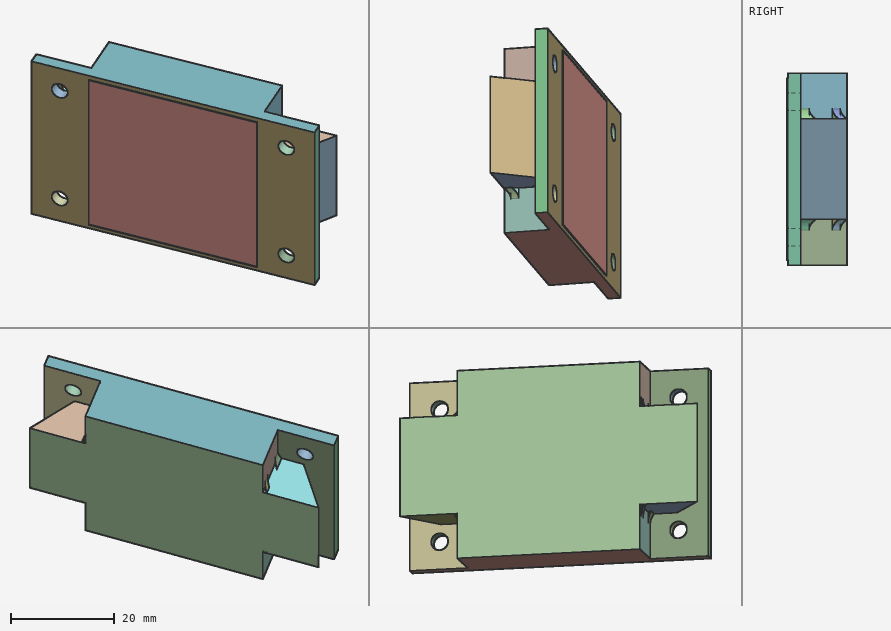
import cadquery as cq

LENGTH = 59.0
HEIGHT = 37.0
DEPTH = 11.55
PAD_THICKNESS = 0.2
PAD_SIDE = 35.05
PLATE_THICKNESS = 2.5
BODY_LENGTH = 36.1
HOLE_DIAMETER = 3.3
HOLE_SPACING_X = 47.2
HOLE_SPACING_Z = 26.1

WEDGE_HEIGHT = 19.35
WEDGE_BASE_LENGTH = 46.6
WEDGE_BACK_LENGTH = 58.75

GUSSET_REACH = 0.75
GUSSET_RISE = 2.0
GUSSET_WIDTH = 1.55
GUSSET_SLANT = 1.3
GUSSET_PITCH = 6.0

BACK_Y = DEPTH - PAD_THICKNESS
BODY_X = BODY_LENGTH / 2
WEDGE_Z = WEDGE_HEIGHT / 2
OVERLAP = 0.3


def block(length, y_start, y_end, height):
    """Box centred on X and Z between two Y levels."""
    return cq.Workplane("XY").box(length, y_end - y_start, height).translate((0, (y_start + y_end) / 2, 0))


def wedges():
    """Both wedges as one trapezoidal bar running through the body."""
    outline = [
        (-WEDGE_BASE_LENGTH / 2, PLATE_THICKNESS),
        (WEDGE_BASE_LENGTH / 2, PLATE_THICKNESS),
        (WEDGE_BACK_LENGTH / 2, BACK_Y),
        (-WEDGE_BACK_LENGTH / 2, BACK_Y),
    ]
    return cq.Workplane("XY").polyline(outline).close().extrude(WEDGE_Z, both=True)


def fillet_strip():
    """Concave strip in the +X +Z corner, tangent to the body side."""
    radius = (GUSSET_REACH**2 + GUSSET_RISE**2) / (2 * GUSSET_REACH)
    mid_rise = GUSSET_RISE / 2
    mid_reach = radius - (radius**2 - mid_rise**2) ** 0.5
    top_z = WEDGE_Z + GUSSET_RISE
    return (
        cq.Workplane("XZ")
        .moveTo(BODY_X, top_z)
        .threePointArc((BODY_X + mid_reach, top_z - mid_rise), (BODY_X + GUSSET_REACH, WEDGE_Z))
        .lineTo(BODY_X + GUSSET_REACH, WEDGE_Z - OVERLAP)
        .lineTo(BODY_X - OVERLAP, WEDGE_Z - OVERLAP)
        .lineTo(BODY_X - OVERLAP, top_z)
        .close()
        .extrude(-BACK_Y)
    )


def slanted_band(tip_back_y, tip_front_y, root_front_y):
    """Region that trims the strip to one gusset, slanting back towards its tip."""
    tip_x = BODY_X + GUSSET_REACH
    outline = [
        (BODY_X - OVERLAP, root_front_y),
        (BODY_X, root_front_y),
        (tip_x, tip_front_y),
        (tip_x, tip_back_y),
        (BODY_X, tip_back_y - GUSSET_SLANT),
        (BODY_X - OVERLAP, tip_back_y - GUSSET_SLANT),
    ]
    return cq.Workplane("XY").polyline(outline).close().extrude(HEIGHT / 2)


def corner_gussets():
    """The two gussets of one corner: one at the back, one standing on the plate."""
    back_front_y = BACK_Y - GUSSET_WIDTH
    back = slanted_band(BACK_Y, back_front_y, back_front_y - GUSSET_SLANT)
    front = slanted_band(BACK_Y - GUSSET_PITCH, PLATE_THICKNESS, PLATE_THICKNESS)
    return [fillet_strip().intersect(band) for band in (back, front)]


plate = block(LENGTH, 0, PLATE_THICKNESS, HEIGHT)
pad = block(PAD_SIDE, -PAD_THICKNESS, 0, PAD_SIDE)
body = block(BODY_LENGTH, PLATE_THICKNESS, BACK_Y, HEIGHT)
part = plate.union(pad).union(body).union(wedges())

for gusset in corner_gussets():
    right_pair = gusset.union(gusset.mirror("XY"))
    part = part.union(right_pair).union(right_pair.mirror("YZ"))

holes = (
    cq.Workplane("XZ")
    .rarray(HOLE_SPACING_X, HOLE_SPACING_Z, 2, 2)
    .circle(HOLE_DIAMETER / 2)
    .extrude(-PLATE_THICKNESS)
)
result = part.cut(holes)